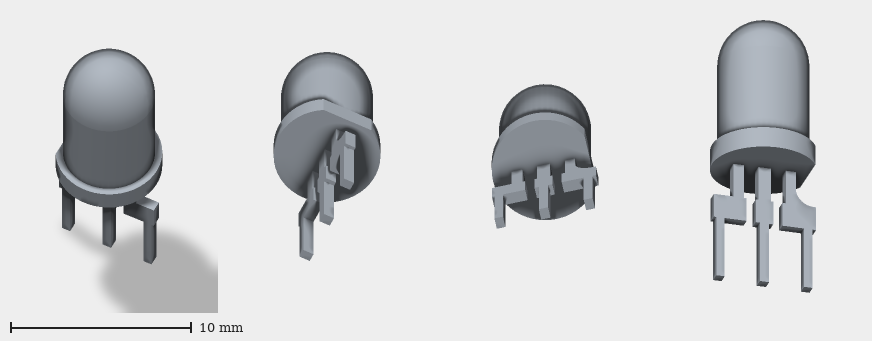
import cadquery as cq
import math

TOTAL_HEIGHT = 16.0
SHOULDER_BOTTOM = 3.6
SHOULDER_TOP = 5.0
FLANGE_BOTTOM = 7.02
FLANGE_HEIGHT = 1.2

LENS_DIAMETER = 5.1
LENS_RADIUS = LENS_DIAMETER / 2
FLANGE_DIAMETER = 5.9
FLANGE_RADIUS = FLANGE_DIAMETER / 2
FLAT_X = -2.56
DOME_START = TOTAL_HEIGHT - LENS_RADIUS

LEAD_THICKNESS = 0.62
LEFT_FILLET = 1.02

LEFT_POST = (-1.78, -1.2)
LEFT_SHOULDER = (-2.95, -1.0)
LEFT_LEG = (-2.75, -2.25)

MIDDLE_POST = (-0.34, 0.38)
MIDDLE_SHOULDER = (-0.48, 0.53)
MIDDLE_LEG = (-0.24, 0.29)

RIGHT_POST = (1.2, 1.82)
RIGHT_SHOULDER = (1.05, 2.95)
RIGHT_LEG = (2.32, 2.8)


def make_housing():
    """Round lens with a hemispherical top, one solid with its flatted flange."""
    flat_half_width = math.sqrt(FLANGE_RADIUS**2 - FLAT_X**2)
    flange = (
        cq.Workplane("XY", origin=(0, 0, FLANGE_BOTTOM))
        .moveTo(FLAT_X, -flat_half_width)
        .threePointArc((FLANGE_RADIUS, 0), (FLAT_X, flat_half_width))
        .close()
        .extrude(FLANGE_HEIGHT)
    )
    dome_middle = LENS_RADIUS * math.sqrt(0.5)
    lens = (
        cq.Workplane("XZ")
        .moveTo(0, FLANGE_BOTTOM)
        .lineTo(LENS_RADIUS, FLANGE_BOTTOM)
        .lineTo(LENS_RADIUS, DOME_START)
        .threePointArc((dome_middle, DOME_START + dome_middle), (0, TOTAL_HEIGHT))
        .close()
        .revolve(360, (0, 0), (0, 1))
    )
    return flange.union(lens)


def make_lead(post, shoulder, leg, left_fillet=0):
    """Flat lead: post under the flange, wider shoulder, then a narrow leg.

    A left_fillet rounds the corner where the post's left edge meets the shoulder.
    """
    outline = (
        cq.Workplane("XZ")
        .moveTo(post[0], FLANGE_BOTTOM)
        .lineTo(post[1], FLANGE_BOTTOM)
        .lineTo(post[1], SHOULDER_TOP)
        .lineTo(shoulder[1], SHOULDER_TOP)
        .lineTo(shoulder[1], SHOULDER_BOTTOM)
        .lineTo(leg[1], SHOULDER_BOTTOM)
        .lineTo(leg[1], 0)
        .lineTo(leg[0], 0)
        .lineTo(leg[0], SHOULDER_BOTTOM)
        .lineTo(shoulder[0], SHOULDER_BOTTOM)
        .lineTo(shoulder[0], SHOULDER_TOP)
    )
    if left_fillet:
        centre_x = post[0] - left_fillet
        centre_z = SHOULDER_TOP + left_fillet
        diagonal = left_fillet * math.sqrt(0.5)
        outline = outline.lineTo(centre_x, SHOULDER_TOP).threePointArc(
            (centre_x + diagonal, centre_z - diagonal), (post[0], centre_z)
        )
    else:
        outline = outline.lineTo(post[0], SHOULDER_TOP)
    return outline.close().extrude(LEAD_THICKNESS / 2, both=True)


housing = make_housing()
left_lead = make_lead(LEFT_POST, LEFT_SHOULDER, LEFT_LEG, LEFT_FILLET)
middle_lead = make_lead(MIDDLE_POST, MIDDLE_SHOULDER, MIDDLE_LEG)
right_lead = make_lead(RIGHT_POST, RIGHT_SHOULDER, RIGHT_LEG)

result = cq.Compound.makeCompound(
    [housing.val(), left_lead.val(), middle_lead.val(), right_lead.val()]
)